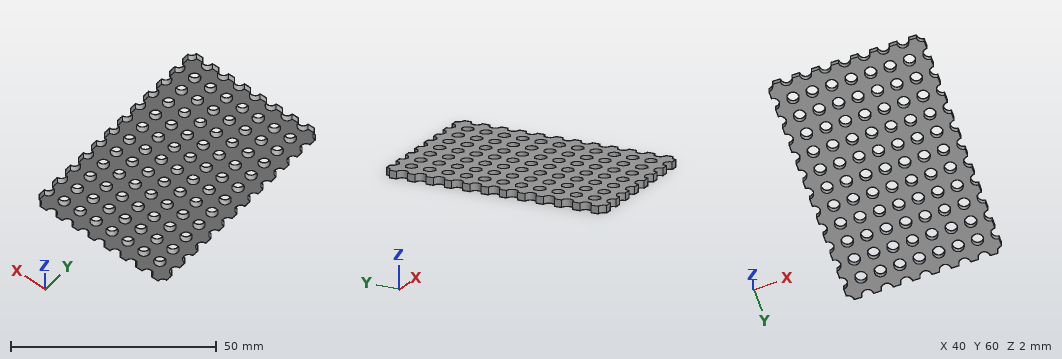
import cadquery as cq

length = 60.0
pitches_along_y = 12
pitches_along_x = 8
hole_diameter = 3.0
thickness = 2.0

pitch = length / pitches_along_y
width = pitch * pitches_along_x


def make_plate():
    """Plain rectangular plate standing on the XY plane."""
    return cq.Workplane("XY").box(width, length, thickness, centered=(True, True, False))


def make_hole_pins():
    """Through-hole cylinders at every grid point, including edges and corners."""
    return (
        cq.Workplane("XY")
        .rarray(pitch, pitch, pitches_along_x + 1, pitches_along_y + 1)
        .circle(hole_diameter / 2)
        .extrude(thickness)
    )


result = make_plate().cut(make_hole_pins())